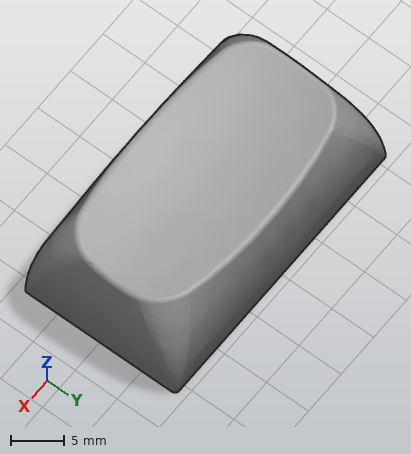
import cadquery as cq

KEY_PITCH = 19.05
UNITS_WIDE = 1.75
BASE_DEPTH = 18.2
BASE_WIDTH = KEY_PITCH * UNITS_WIDE - (KEY_PITCH - BASE_DEPTH)
BASE_CORNER_RADIUS = 0.5

HEIGHT = 11.5
TILT = -6
SECTION_TAPER = 5.0
TOP_WIDTH = BASE_WIDTH - SECTION_TAPER
TOP_DEPTH = BASE_DEPTH - SECTION_TAPER
TOP_BOW = 1.7
TOP_CORNER_RADIUS = 5.0

MID_FRACTION = 0.25
MID_CORNER_RADIUS = (TOP_CORNER_RADIUS - BASE_CORNER_RADIUS) / 3

DISH_DEPTH = 2.8
DISH_END_RISE = 1.5
DISH_MARGIN = 2.0
DISH_CENTER_DROP = 0.5
RIM_FILLET = 0.6


def rounded_rectangle(corner_radius):
    """Base-sized section with the given corner radius."""
    return cq.Sketch().rect(BASE_WIDTH, BASE_DEPTH).vertices().fillet(corner_radius)


def bowed_rectangle():
    """Top section: four outward arcs joined by large rounded corners."""
    half_x = TOP_WIDTH / 2
    half_y = TOP_DEPTH / 2
    corner_x = half_x - TOP_BOW
    corner_y = half_y - TOP_BOW
    return (
        cq.Sketch()
        .arc((-corner_x, -corner_y), (-half_x, 0), (-corner_x, corner_y))
        .arc((-corner_x, corner_y), (0, half_y), (corner_x, corner_y))
        .arc((corner_x, corner_y), (half_x, 0), (corner_x, -corner_y))
        .arc((corner_x, -corner_y), (0, -half_y), (-corner_x, -corner_y))
        .assemble()
        .vertices()
        .fillet(TOP_CORNER_RADIUS)
    )


def raise_and_tilt(fraction):
    """Placement of a section at a fraction of the full height and tilt."""
    return cq.Location(cq.Vector(0, 0, HEIGHT * fraction), cq.Vector(1, 0, 0), TILT * fraction)


def make_body():
    """Smooth loft through the base, middle and top sections."""
    sections = (
        rounded_rectangle(BASE_CORNER_RADIUS),
        rounded_rectangle(MID_CORNER_RADIUS).moved(raise_and_tilt(MID_FRACTION)),
        bowed_rectangle().moved(raise_and_tilt(1)),
    )
    outlines = [section.reset().faces().val().outerWire() for section in sections]
    return cq.Workplane(cq.Solid.makeLoft(outlines))


def dish_section(plane, half_span, end_level, arc_depth):
    """Closed outline whose lower side is the dish arc."""
    half_depth = BASE_DEPTH / 2
    return (
        plane.moveTo(-half_span, end_level)
        .threePointArc((0, -arc_depth), (half_span, end_level))
        .lineTo(half_depth, HEIGHT)
        .lineTo(-half_depth, HEIGHT)
        .close()
    )


def make_dish():
    """Cutter lofted along X: shallow at both ends, deepest at the centre."""
    half_width = BASE_WIDTH / 2
    end_span = BASE_DEPTH / 2 - DISH_MARGIN
    center_span = BASE_DEPTH / 2 + DISH_MARGIN
    end_depth = DISH_DEPTH - DISH_END_RISE
    start = cq.Workplane("YZ").transformed(
        offset=cq.Vector(0, HEIGHT, half_width),
        rotate=cq.Vector(0, 0, TILT),
    )
    sections = dish_section(start, end_span, 0, end_depth)
    sections = dish_section(
        sections.workplane(offset=-half_width), center_span, -DISH_CENTER_DROP, DISH_DEPTH
    )
    sections = dish_section(sections.workplane(offset=-half_width), end_span, 0, end_depth)
    return sections.loft(combine=False)


def round_rim(keycap):
    """Fillet the edge loop around the dished top face."""
    return keycap.faces(">Z").edges().fillet(RIM_FILLET)


dished_body = make_body().cut(make_dish())
result = round_rim(dished_body)